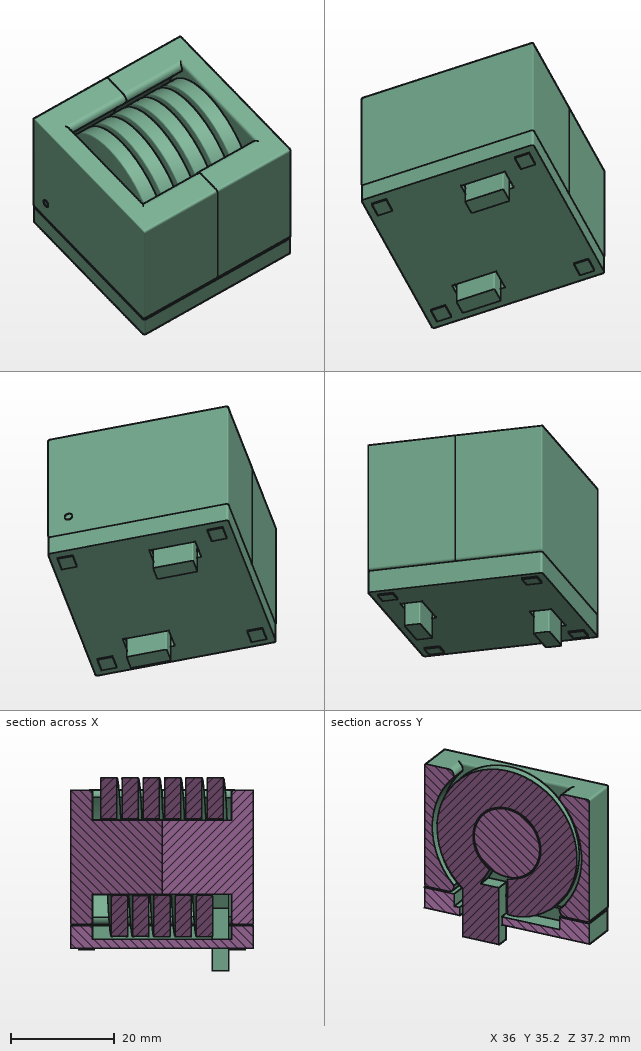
import cadquery as cq
import math

width = 36.0
depth = 35.2
core_height = 25.95
total_height = 37.2

outer_round = 0.5
core_face_round = 0.2
wire_round = 0.25

post_diameter = 14.4
end_wall = 4.25
leg_bore_radius = 16.25
opening_width = 22.95
opening_shift = 0.07
opening_side_round = 1.25
opening_end_round = 0.55
dot_diameter = 1.53
dot_x = -13.88
dot_z = -8.55
dot_recess = 0.1

coil_radius = 15.33
wire_width = 8.0
wire_thickness = 3.2
pitch = 4.1
turns = 5.5
lead_inner_x = 1.7

base_height = 4.4
base_gap = 0.2
slot_clearance = 0.6
recess_depth = 2.6
foot_size = 3.05
foot_height = 0.3
foot_inset = 1.53

core_top = core_height / 2
core_bottom = -core_top
base_top = core_bottom - base_gap
base_bottom = base_top - base_height
pin_bottom = coil_radius - total_height
window_depth = depth / 2 - end_wall
wire_radius = coil_radius - wire_width / 2
coil_half_length = pitch * turns / 2
lead_x = -(lead_inner_x + wire_width / 2)
lead_positions = [(lead_x, coil_half_length), (-lead_x, -coil_half_length)]


def half_turn(body):
    """Rotate a shape by 180 degrees about the vertical axis."""
    return body.rotate((0, 0, 0), (0, 0, 1), 180)


def make_front_core():
    """Front core half: end wall, round centre post and two outer legs."""
    half = cq.Workplane("XY").box(width, depth / 2, core_height).translate((0, -depth / 4, 0))
    half = half.edges("|Y").fillet(outer_round)
    half = half.faces("<Y").edges().fillet(core_face_round)

    winding_space = cq.Workplane("XZ").circle(leg_bore_radius).extrude(window_depth)
    opening = (
        cq.Workplane("XY")
        .box(opening_width, window_depth, core_height)
        .translate((opening_shift, -window_depth / 2, 0))
    )
    half = half.cut(winding_space.union(opening))

    opening_side = opening_width / 2
    for rim in (core_top, core_bottom):
        for side in (-1, 1):
            point = (side * opening_side + opening_shift, -window_depth / 2, rim)
            half = half.edges(cq.selectors.NearestToPointSelector(point)).fillet(opening_side_round)
    for rim in (core_top, core_bottom):
        point = (opening_shift, -window_depth, rim)
        half = half.edges(cq.selectors.NearestToPointSelector(point)).fillet(opening_end_round)

    post = cq.Workplane("XZ").circle(post_diameter / 2).extrude(window_depth)
    return half.union(post)


def mark_dot(core):
    """Sink the shallow round mark into the front face."""
    dot = (
        cq.Workplane("XZ", origin=(0, -depth / 2, 0))
        .center(dot_x, dot_z)
        .circle(dot_diameter / 2)
        .extrude(-dot_recess)
    )
    return core.cut(dot)


def wire_section(plane):
    """Rounded wire cross section, its wide side along the local X axis."""
    sketch = cq.Sketch().rect(wire_width, wire_thickness).vertices().fillet(wire_round)
    return plane.placeSketch(sketch)


def make_lead():
    """Flat partial turn on the -X side that runs into a straight pin pointing down."""
    elbow_angle = math.degrees(math.acos(-lead_x / wire_radius))
    section = wire_section(cq.Workplane("XY", origin=(-wire_radius, coil_half_length, 0)))
    elbow = section.revolve(elbow_angle, (wire_radius, 0, 0), (wire_radius, -1, 0))
    pin_top = -math.sqrt(wire_radius**2 - lead_x**2)
    pin = wire_section(cq.Workplane("XY", origin=(lead_x, coil_half_length, pin_bottom)))
    pin = pin.extrude(pin_top - pin_bottom)
    return elbow.union(pin)


def make_coil():
    """Edge-wound helix with a lead at each end."""
    path = cq.Wire.makeHelix(pitch, pitch * turns, wire_radius, lefthand=True)
    section = wire_section(cq.Workplane("XZ", origin=(wire_radius, 0, 0)))
    helix = section.sweep(cq.Workplane(path), isFrenet=True)
    helix = helix.translate((0, 0, -coil_half_length)).rotate((0, 0, 0), (1, 0, 0), -90)
    lead = make_lead()
    return helix.union(lead.union(half_turn(lead)), glue=True)


def make_base():
    """Base plate with a recess under the coil, a slot for each pin and a foot at each corner."""
    base = (
        cq.Workplane("XY", origin=(0, 0, base_bottom))
        .rect(width, depth)
        .extrude(base_height)
        .edges("|Z")
        .fillet(outer_round)
    )
    slots = (
        cq.Workplane("XY", origin=(0, 0, base_bottom))
        .pushPoints(lead_positions)
        .rect(wire_width + 2 * slot_clearance, wire_thickness + 2 * slot_clearance)
        .extrude(base_height)
    )
    recess = (
        cq.Workplane("XY", origin=(0, 0, base_top))
        .rect(opening_width, 2 * window_depth)
        .extrude(-recess_depth)
    )
    foot_offset = 2 * foot_inset + foot_size
    feet = (
        cq.Workplane("XY", origin=(0, 0, base_bottom))
        .rect(width - foot_offset, depth - foot_offset, forConstruction=True)
        .vertices()
        .rect(foot_size, foot_size)
        .extrude(-foot_height)
    )
    return base.cut(recess).cut(slots).union(feet)


plain_core = make_front_core()
front_core = mark_dot(plain_core)
rear_core = half_turn(plain_core)
coil = make_coil()
base = make_base()

result = cq.Compound.makeCompound([front_core.val(), rear_core.val(), coil.val(), base.val()])